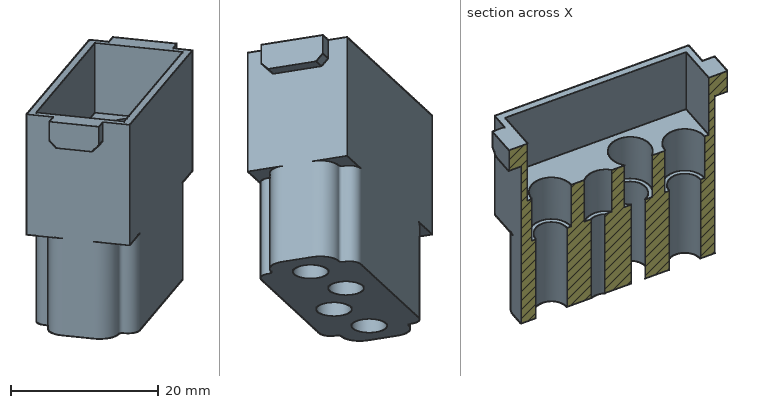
import cadquery as cq

width = 14.6
full_length = 34.1
height = 31.5
tab_projection = 1.9
body_length = full_length - 2 * tab_projection

lower_height = 14.05
side_corner_radius = 1.67
inner_corner_radius = 0.5
end_corner_radius = 2.7
step_flat = 0.17

side_wall = 1.1
end_wall = 1.02
pocket_depth = 10.1

tab_height = 3.7
tab_chamfer = 1.0
front_tab_width = 7.02
rear_tab_width = 9.07

bore_diameter = 4.85
counterbore_diameter = 6.1
outer_bore_y = 10.4
inner_bore_y = 3.15
inner_bore_x = 2.18
bore_centres = [
    (0, outer_bore_y),
    (-inner_bore_x, inner_bore_y),
    (inner_bore_x, -inner_bore_y),
    (0, -outer_bore_y),
]


def corner_waste():
    """Outline-cutting solid for the +X, +Y corner of the lower section."""
    side_x = width / 2
    end_y = body_length / 2
    flat_outer_x = side_x - side_corner_radius
    flat_inner_x = flat_outer_x - step_flat
    end_arc_x = flat_inner_x - inner_corner_radius
    end_arc_y = end_y - end_corner_radius
    flat_y = end_arc_y - inner_corner_radius
    arc_axis_x = end_arc_x - end_corner_radius
    side_arc_y = flat_y - side_corner_radius

    def arc_middle(centre_x, centre_y, radius):
        diagonal = radius / 2**0.5
        return (centre_x + diagonal, centre_y + diagonal)

    inner_diagonal = inner_corner_radius / 2**0.5
    inner_middle = (flat_inner_x - inner_diagonal, end_arc_y - inner_diagonal)
    return (
        cq.Workplane("XY")
        .moveTo(arc_axis_x, end_y)
        .threePointArc(arc_middle(arc_axis_x, end_arc_y, end_corner_radius), (end_arc_x, end_arc_y))
        .threePointArc(inner_middle, (flat_inner_x, flat_y))
        .lineTo(flat_outer_x, flat_y)
        .threePointArc(arc_middle(flat_outer_x, side_arc_y, side_corner_radius), (side_x, side_arc_y))
        .lineTo(side_x, end_y)
        .close()
        .extrude(lower_height)
    )


def tab(tab_width, inner_y):
    """Tab spanning one projection in Y, with its two lower edges chamfered."""
    return (
        cq.Workplane("XY")
        .box(tab_width, tab_projection, tab_height, centered=(True, False, False))
        .edges("|Y and <Z")
        .chamfer(tab_chamfer)
        .translate((0, inner_y, height - tab_height))
    )


body = cq.Workplane("XY").box(width, body_length, height, centered=(True, True, False))

waste = corner_waste()
waste_pair = waste.union(waste.mirror("YZ"))
body = body.cut(waste_pair).cut(waste_pair.mirror("XZ"))

floor_z = height - pocket_depth
pocket = (
    cq.Workplane("XY", origin=(0, 0, floor_z))
    .rect(width - 2 * side_wall, body_length - 2 * end_wall)
    .extrude(pocket_depth)
)
body = body.cut(pocket)

body = (
    body.cut(
        cq.Workplane("XY")
        .pushPoints(bore_centres)
        .circle(bore_diameter / 2)
        .extrude(floor_z)
    )
    .cut(
        cq.Workplane("XY", origin=(0, 0, lower_height))
        .pushPoints(bore_centres)
        .circle(counterbore_diameter / 2)
        .extrude(floor_z - lower_height)
    )
)

front_tab = tab(front_tab_width, -full_length / 2)
rear_tab = tab(rear_tab_width, body_length / 2)
result = body.union(front_tab).union(rear_tab)